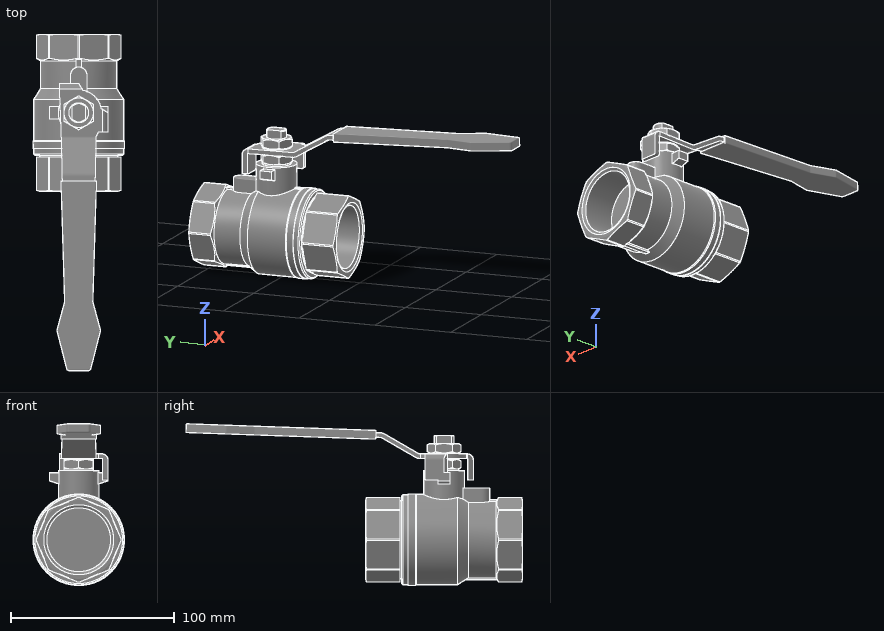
import cadquery as cq
import math


END_Y = 48.0
OCTAGON_FLATS = 48.2
OCTAGON_RADIUS = OCTAGON_FLATS / 2 / math.cos(math.pi / 8)
OCTAGON_CORNER_RADIUS = 25.9
OCTAGON_CHAMFER = 0.5
BACK_OCTAGON_Y = 33.3
BACK_BEVEL_Y = 31.8
NECK_RADIUS = 23.4
NECK_END_Y = 14.8
BODY_RADIUS = 27.6
BODY_START_Y = 8.2
COLLAR_RADIUS = 28.0
COLLAR_BACK_Y = -17.6
COLLAR_BEVEL_Y = -16.9
COLLAR_FRONT_Y = -22.0
BODY_END_Y = -26.0
GROOVE_RADIUS = 23.9
FRONT_OCTAGON_Y = -26.9
BODY_END_CHAMFER = 0.8

BORE_RADIUS = 19.5
BORE_MOUTH_RADIUS = 21.4
BORE_MOUTH_LENGTH = 1.3
BORE_DEPTH = 23.0

RIB_WIDTH = 3.4
RIB_HEIGHT = 24.5
FRONT_RIB_HEIGHT = 28.0
PAD_WIDTH = 10.0
PAD_END_Y = 28.0
PAD_TOP_Z = 31.7
PAD_FILLET = 0.6

BOSS_RADIUS = 12.5
BOSS_TOP_Z = 42.3
LUG_REACH = 18.0
LUG_WIDTH = 7.5
LUG_TOP_Z = 41.1
LUG_TIP_Z = 36.0
LUG_ROOT_Z = 34.2
STEM_RADIUS = 6.1
STEM_FLATS = 8.0
STEM_TOP_Z = 63.8
STEM_CHAMFER = 0.5
NUT_FLATS = 18.0
NUT_CORNER_RADIUS = NUT_FLATS / math.sqrt(3)
NUT_HEIGHT = 5.7
NUT_CHAMFER_ANGLE = 30.0
WASHER_RADIUS = NUT_FLATS / 2
LOWER_NUT_Z = 43.3
UPPER_NUT_Z = 53.1

LEVER_THICKNESS = 3.0
PLATE_TOP_Z = 52.6
PLATE_BOTTOM_Z = PLATE_TOP_Z - LEVER_THICKNESS
HEAD_RADIUS = 14.0
HEAD_FRONT_Y = -14.5
FRONT_HALF_WIDTH = 10.7
NOTCH_WIDTH = 1.3
NECK_HALF_WIDTH = 10.0
TAB_THICKNESS = 3.6
TAB_REACH = 18.0
TAB_BOTTOM_Z = 36.5
TAB_BEND_RADIUS = 4.0
TAB_CORNER_RADIUS = 1.0
TAB_LONG_END = 11.8
TAB_SHORT_END = 2.2
TAB_BEVEL = 2.3
RAMP_ANGLE = 30.0
RAMP_START_Y = -15.35
RAMP_END_Y = -37.6
BEND_INNER_RADIUS = 3.0
BEND_OUTER_RADIUS = BEND_INNER_RADIUS + LEVER_THICKNESS

GRIP_ANGLE = 2.0
GRIP_START_Y = -41.7
GRIP_TIP_Y = -157.9
GRIP_WAIST_Y = -115.8
GRIP_BULGE_Y = -133.2
GRIP_START_HALF_WIDTH = 10.9
GRIP_WAIST_HALF_WIDTH = 8.7
GRIP_BULGE_HALF_WIDTH = 13.4
GRIP_TIP_HALF_WIDTH = 7.1
GRIP_THICKNESS = 5.5
GRIP_TIP_TOP_Z = 71.0
GRIP_CORNER_RADIUS = 2.0
GRIP_FILLET = 0.6


def turned(points):
    """Solid turned about the flow axis from (radius, y) points."""
    return cq.Workplane("XY").polyline(points).close().revolve(360, (0, 0), (0, 1))


def box(x_range, y_range, z_range):
    """Box spanning the three ranges."""
    size = [high - low for low, high in (x_range, y_range, z_range)]
    corner = (x_range[0], y_range[0], z_range[0])
    return cq.Workplane("XY").box(*size, centered=False).translate(corner)


def disc(radius, bottom_z, top_z):
    """Cylinder about the stem axis."""
    return cq.Workplane("XY").workplane(offset=bottom_z).circle(radius).extrude(top_z - bottom_z)


def make_barrel():
    """Turned middle of the body with its collar."""
    return turned([
        (0, BACK_OCTAGON_Y),
        (NECK_RADIUS, BACK_OCTAGON_Y),
        (NECK_RADIUS, NECK_END_Y),
        (BODY_RADIUS, BODY_START_Y),
        (BODY_RADIUS, COLLAR_BEVEL_Y),
        (COLLAR_RADIUS, COLLAR_BACK_Y),
        (COLLAR_RADIUS, COLLAR_FRONT_Y),
        (BODY_RADIUS, COLLAR_FRONT_Y),
        (BODY_RADIUS, BODY_END_Y + BODY_END_CHAMFER),
        (BODY_RADIUS - BODY_END_CHAMFER, BODY_END_Y),
        (GROOVE_RADIUS, BODY_END_Y),
        (GROOVE_RADIUS, FRONT_OCTAGON_Y),
        (0, FRONT_OCTAGON_Y),
    ])


def make_octagons():
    """Octagonal wrench ends, their corners trimmed by turned envelopes."""
    prism = (
        cq.Workplane("XZ", origin=(0, END_Y, 0))
        .polygon(8, 2 * OCTAGON_RADIUS)
        .extrude(2 * END_Y)
    )
    face_radius = OCTAGON_FLATS / 2
    chamfer_y = END_Y - OCTAGON_CHAMFER
    back = turned([
        (0, END_Y),
        (face_radius, END_Y),
        (OCTAGON_CORNER_RADIUS, chamfer_y),
        (OCTAGON_CORNER_RADIUS, BACK_OCTAGON_Y),
        (NECK_RADIUS, BACK_BEVEL_Y),
        (0, BACK_BEVEL_Y),
    ])
    front = turned([
        (0, -END_Y),
        (face_radius, -END_Y),
        (OCTAGON_CORNER_RADIUS, -chamfer_y),
        (OCTAGON_CORNER_RADIUS, FRONT_OCTAGON_Y),
        (0, FRONT_OCTAGON_Y),
    ])
    return prism.intersect(back.union(front))


def make_bore(side):
    """Blind bore with a chamfered mouth; side is +1 for the +Y end, -1 for the -Y end."""
    mouth_y = END_Y - BORE_MOUTH_LENGTH
    return turned([
        (0, side * END_Y),
        (BORE_MOUTH_RADIUS, side * END_Y),
        (BORE_RADIUS, side * mouth_y),
        (BORE_RADIUS, side * (END_Y - BORE_DEPTH)),
        (0, side * (END_Y - BORE_DEPTH)),
    ])


def make_ribs():
    """Seam ribs along the top and bottom of the neck and between the boss and the collar."""
    x_range = (-RIB_WIDTH / 2, RIB_WIDTH / 2)
    neck_ribs = box(x_range, (BODY_START_Y, BACK_OCTAGON_Y), (-RIB_HEIGHT, RIB_HEIGHT))
    front_rib = box(x_range, (COLLAR_BACK_Y, 0), (0, FRONT_RIB_HEIGHT))
    return neck_ribs.union(front_rib)


def make_pad():
    """Round-ended pad on top of the neck, running into the boss."""
    half_width = PAD_WIDTH / 2
    round_y = PAD_END_Y - half_width
    return (
        cq.Workplane("XY")
        .moveTo(-half_width, 0)
        .lineTo(-half_width, round_y)
        .threePointArc((0, PAD_END_Y), (half_width, round_y))
        .lineTo(half_width, 0)
        .close()
        .extrude(PAD_TOP_Z)
        .faces(">Z").edges("not <Y").fillet(PAD_FILLET)
    )


def make_lugs():
    """Stop lugs on both sides of the boss, with sloped undersides."""
    return (
        cq.Workplane("XZ", origin=(0, LUG_WIDTH / 2, 0))
        .polyline([
            (-LUG_REACH, LUG_TOP_Z),
            (LUG_REACH, LUG_TOP_Z),
            (LUG_REACH, LUG_TIP_Z),
            (BOSS_RADIUS, LUG_ROOT_Z),
            (-BOSS_RADIUS, LUG_ROOT_Z),
            (-LUG_REACH, LUG_TIP_Z),
        ])
        .close()
        .extrude(LUG_WIDTH)
    )


def make_nut(bottom_z):
    """Hexagon nut with corners along Y, chamfered above and below."""
    face_radius = NUT_FLATS / 2
    rise = (NUT_CORNER_RADIUS - face_radius) * math.tan(math.radians(NUT_CHAMFER_ANGLE))
    top_z = bottom_z + NUT_HEIGHT
    hexagon = (
        cq.Workplane("XY").workplane(offset=bottom_z)
        .polygon(6, 2 * NUT_CORNER_RADIUS)
        .extrude(NUT_HEIGHT)
        .rotate((0, 0, 0), (0, 0, 1), 90)
    )
    envelope = (
        cq.Workplane("XZ")
        .polyline([
            (0, bottom_z),
            (face_radius, bottom_z),
            (NUT_CORNER_RADIUS, bottom_z + rise),
            (NUT_CORNER_RADIUS, top_z - rise),
            (face_radius, top_z),
            (0, top_z),
        ])
        .close()
        .revolve(360, (0, 0), (0, 1))
    )
    return hexagon.intersect(envelope)


def make_stem():
    """Stem end with two flats facing +X and -X above the lever."""
    stem = disc(STEM_RADIUS, PLATE_TOP_Z, STEM_TOP_Z).faces(">Z").chamfer(STEM_CHAMFER)
    half_flats = STEM_FLATS / 2
    return stem.intersect(
        box((-half_flats, half_flats), (-STEM_RADIUS, STEM_RADIUS), (PLATE_TOP_Z, STEM_TOP_Z))
    )


def make_lever_head():
    """Flat plate around the stem, up to the start of the ramp."""
    tab_root = TAB_REACH - TAB_THICKNESS
    arc_reach = math.sqrt(HEAD_RADIUS**2 - TAB_SHORT_END**2)
    arc_middle = HEAD_RADIUS / math.sqrt(2)
    return (
        cq.Workplane("XY").workplane(offset=PLATE_BOTTOM_Z)
        .moveTo(-FRONT_HALF_WIDTH, HEAD_FRONT_Y)
        .lineTo(-TAB_LONG_END, tab_root)
        .lineTo(TAB_SHORT_END, tab_root)
        .lineTo(TAB_SHORT_END, arc_reach)
        .threePointArc((arc_middle, arc_middle), (arc_reach, TAB_SHORT_END))
        .lineTo(tab_root, TAB_SHORT_END)
        .lineTo(tab_root, -TAB_LONG_END)
        .lineTo(FRONT_HALF_WIDTH + NOTCH_WIDTH, -TAB_LONG_END)
        .lineTo(FRONT_HALF_WIDTH, HEAD_FRONT_Y)
        .close()
        .extrude(LEVER_THICKNESS)
    )


def make_back_tab():
    """Tab bent down from the rear edge of the plate, bevelled at its +X end."""
    inner = TAB_REACH - TAB_THICKNESS
    bend_start = TAB_REACH - TAB_BEND_RADIUS
    bent_strip = (
        cq.Workplane("YZ", origin=(-TAB_LONG_END, 0, 0))
        .moveTo(bend_start, PLATE_TOP_Z)
        .radiusArc((TAB_REACH, PLATE_TOP_Z - TAB_BEND_RADIUS), TAB_BEND_RADIUS)
        .lineTo(TAB_REACH, TAB_BOTTOM_Z)
        .lineTo(inner, TAB_BOTTOM_Z)
        .lineTo(inner, PLATE_BOTTOM_Z)
        .lineTo(bend_start, PLATE_BOTTOM_Z)
        .close()
        .extrude(TAB_LONG_END + TAB_SHORT_END)
        .edges("<Z and |Y").fillet(TAB_CORNER_RADIUS)
    )
    bevel = (
        cq.Workplane("XY")
        .polyline([
            (TAB_SHORT_END, inner),
            (TAB_SHORT_END, TAB_REACH),
            (TAB_SHORT_END - TAB_BEVEL, TAB_REACH),
        ])
        .close()
        .extrude(PLATE_TOP_Z)
    )
    return bent_strip.cut(bevel)


def make_tabs():
    """Tab behind the stem and its mirror image about the plane X = Y, on the +X side."""
    back_tab = make_back_tab()
    side_tab = back_tab.mirror("YZ").rotate((0, 0, 0), (0, 0, 1), -90)
    return back_tab.union(side_tab)


def make_lever_arm():
    """Strip that climbs from the plate and runs into the grip."""
    ramp_slope = math.tan(math.radians(RAMP_ANGLE))
    grip_slope = math.tan(math.radians(GRIP_ANGLE))
    end_y = GRIP_START_Y - GRIP_CORNER_RADIUS
    ramp_end_z = PLATE_TOP_Z + (RAMP_START_Y - RAMP_END_Y) * ramp_slope
    end_z = ramp_end_z + (RAMP_END_Y - end_y) * grip_slope

    half_start = math.radians(RAMP_ANGLE / 2)
    half_end = math.radians((RAMP_ANGLE - GRIP_ANGLE) / 2)
    bisector_end = math.radians((RAMP_ANGLE + GRIP_ANGLE) / 2)
    corner_distance = LEVER_THICKNESS / math.cos(half_end)
    start_top = (RAMP_START_Y, PLATE_TOP_Z)
    start_bottom = (RAMP_START_Y - LEVER_THICKNESS * math.tan(half_start), PLATE_BOTTOM_Z)
    end_top = (RAMP_END_Y, ramp_end_z)
    end_bottom = (
        RAMP_END_Y - corner_distance * math.sin(bisector_end),
        ramp_end_z - corner_distance * math.cos(bisector_end),
    )
    side_profile = (
        cq.Workplane("YZ", origin=(-FRONT_HALF_WIDTH, 0, 0))
        .polyline([
            (0, PLATE_TOP_Z),
            start_top,
            end_top,
            (end_y, end_z),
            (end_y, end_z - LEVER_THICKNESS),
            end_bottom,
            start_bottom,
            (0, PLATE_BOTTOM_Z),
        ])
        .close()
        .extrude(2 * FRONT_HALF_WIDTH)
    )
    bends = [
        (start_top, BEND_INNER_RADIUS),
        (start_bottom, BEND_OUTER_RADIUS),
        (end_top, BEND_OUTER_RADIUS),
        (end_bottom, BEND_INNER_RADIUS),
    ]
    for corner, radius in bends:
        edge = cq.selectors.NearestToPointSelector((0, *corner))
        side_profile = side_profile.edges("|X").edges(edge).fillet(radius)
    width_outline = (
        cq.Workplane("XY").workplane(offset=PLATE_BOTTOM_Z)
        .polyline([
            (-FRONT_HALF_WIDTH, HEAD_FRONT_Y),
            (FRONT_HALF_WIDTH, HEAD_FRONT_Y),
            (NECK_HALF_WIDTH, end_y),
            (-NECK_HALF_WIDTH, end_y),
        ])
        .close()
        .extrude(GRIP_TIP_TOP_Z - PLATE_BOTTOM_Z)
    )
    return side_profile.intersect(width_outline)


def make_grip():
    """Grip outlined from above, extruded and tilted about its tip."""
    half_outline = [
        (GRIP_START_HALF_WIDTH, GRIP_START_Y),
        (GRIP_WAIST_HALF_WIDTH, GRIP_WAIST_Y),
        (GRIP_BULGE_HALF_WIDTH, GRIP_BULGE_Y),
        (GRIP_TIP_HALF_WIDTH, GRIP_TIP_Y),
    ]
    bottom_z = GRIP_TIP_TOP_Z - GRIP_THICKNESS
    mirrored = [(-x, y) for x, y in reversed(half_outline)]
    grip = (
        cq.Workplane("XY").workplane(offset=bottom_z)
        .polyline(half_outline + mirrored)
        .close()
        .extrude(GRIP_THICKNESS)
        .edges("|Z").edges("not >Y").fillet(GRIP_CORNER_RADIUS)
        .faces("<Z or >Z").edges().fillet(GRIP_FILLET)
    )
    return grip.rotate((0, GRIP_TIP_Y, bottom_z), (1, GRIP_TIP_Y, bottom_z), -GRIP_ANGLE)


def make_body():
    """Body casting with its bores, ribs, pad, boss and lugs."""
    body = make_barrel().union(make_octagons()).union(make_ribs()).union(make_pad())
    body = body.union(disc(BOSS_RADIUS, 0, BOSS_TOP_Z)).union(make_lugs())
    return body.cut(make_bore(1)).cut(make_bore(-1))


def make_stem_group():
    """Nuts, washers and stem end clamping the lever."""
    upper_nut = disc(WASHER_RADIUS, PLATE_TOP_Z, UPPER_NUT_Z).union(make_nut(UPPER_NUT_Z))
    upper_nut = upper_nut.cut(disc(STEM_RADIUS, PLATE_TOP_Z, STEM_TOP_Z))
    lower_nut = disc(WASHER_RADIUS, BOSS_TOP_Z, PLATE_BOTTOM_Z).union(make_nut(LOWER_NUT_Z))
    return upper_nut.union(lower_nut).union(make_stem())


def make_lever():
    """Plate, tabs, arm and grip."""
    return make_lever_head().union(make_tabs()).union(make_lever_arm()).union(make_grip())


result = make_body().union(make_stem_group()).union(make_lever())